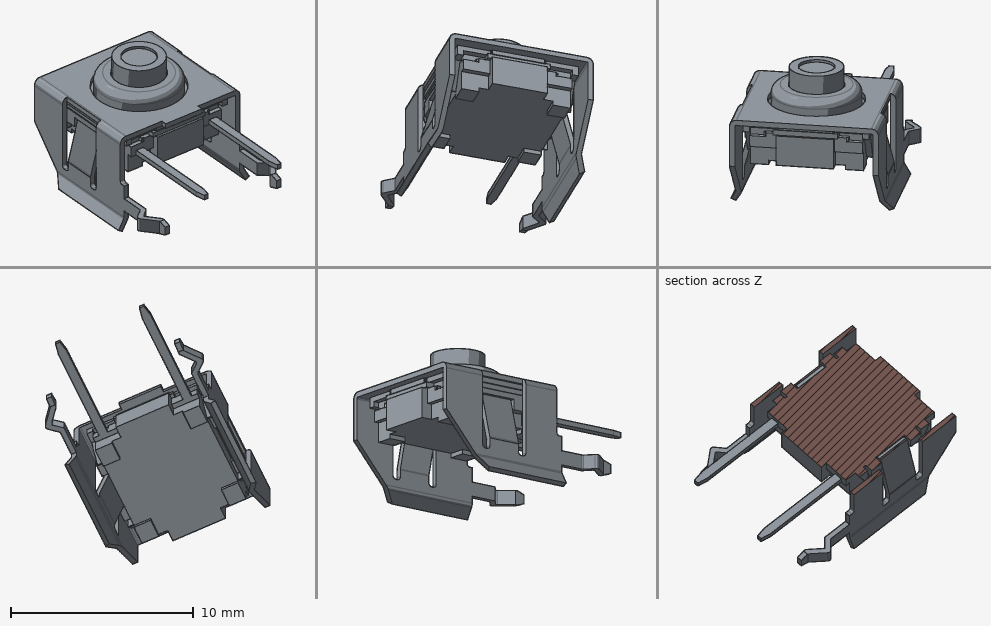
import cadquery as cq
import math


sheet = 0.3
cover_half_width = 4.15
cover_half_length = 4.0
cover_top_end = 3.66
cover_bottom = -5.8
cover_hole_diameter = 5.35
tab_width = 2.52
bend_outer_radius = 0.4
bend_inner_radius = bend_outer_radius - sheet
wall_mid = cover_half_width - sheet / 2
wall_inside = cover_half_width - sheet
small_bend_outer_radius = 0.46
small_bend_inner_radius = small_bend_outer_radius - sheet
flare_angle = 30.0
flare_bend_z = -5.02
slant_start_z = -2.72
slant_end_x = -1.2
shoulder_z = -2.92
shoulder_fillet = 0.16

window_half_length = 1.5
window_bottom = -4.49
window_fillet = 0.19
tongue_half_length = 1.0
tongue_angle = 15.0
tongue_bend_z = -3.87
tongue_top = -1.2

leg_mid_z = -4.13
leg_width = 0.81
leg_end = 7.5
leg_taper_start = 7.04
leg_tip_width = 0.5
leg_bend_start = 5.51
leg_crest_x = 6.03
leg_crest_y = 4.61
leg_bend_end = 6.94
leg_end_y = 3.87
crest_outer_radius = 0.19
crest_inner_radius = 0.1

pin_y = 2.53
pin_width = 0.5
pin_tip_width = 0.26
pin_end = 9.25
pin_taper_start = 8.64
pin_root = 2.65
pin_top = -1.46
pin_bottom = -1.75

button_diameter = 3.0
button_top = 1.9
recess_diameter = 2.0
recess_depth = 0.15
dome_diameter = 5.0
dome_top = 0.85
dome_round = 0.5
dome_gap_diameter = 3.1
dome_gap_depth = 0.2

body_half_width = 3.14
body_half_length = 3.05
body_bottom = -2.61
core_half_width = 1.59
core_half_length = 3.71
core_top = -0.89
lid_bottom = -0.6
lid_half_width = 3.5
lid_half_length = 3.38
lid_rib_half_width = 1.51
lid_rib_step = 0.07
plate_half_width = 1.8
plate_half_length = 3.56
ledge_half_length = 3.33
ledge_top = -1.11
ledge_inner_y = 2.24
ledge_lip_inset = 0.09
ledge_lip_width = 0.12
foot_bottom = -2.86
foot_inner_y = 2.13
foot_length = 1.06

rail_half_length = 1.85
upper_rail_half_width = 3.68
middle_rail_half_width = 3.59
lower_rail_half_width = 3.65
rail_bottom = -1.8
rail_notch_half_length = 1.07
block_half_width = 3.48
block_inner_x = 1.99
block_outer_x = 2.78
block_bottom = -2.44
block_lean = 0.74


def bent_strip(path, thickness):
    """Outline points of a strip of even thickness along a bent centre line, with square ends."""
    directions = []
    for (u0, v0), (u1, v1) in zip(path, path[1:]):
        directions.append(math.atan2(v1 - v0, u1 - u0))
    left, right = [], []
    for i, (u, v) in enumerate(path):
        before = directions[max(i - 1, 0)]
        after = directions[min(i, len(directions) - 1)]
        normal = (before + after + math.pi) / 2
        reach = thickness / 2 / math.cos((after - before) / 2)
        left.append((u + reach * math.cos(normal), v + reach * math.sin(normal)))
        right.append((u - reach * math.cos(normal), v - reach * math.sin(normal)))
    return left + right[::-1]


def box(x0, x1, y0, y1, z0, z1):
    """Axis-aligned box between two corners."""
    return cq.Workplane("XY").box(x1 - x0, y1 - y0, z1 - z0, centered=False).translate((x0, y0, z0))


def slab(half_length, half_width, z0, z1):
    """Box centred on the button axis."""
    return box(-half_length, half_length, -half_width, half_width, z0, z1)


def along_x(points, x0, x1):
    """Extrude a YZ outline from x0 to x1."""
    return cq.Workplane("YZ").workplane(offset=x0).polyline(points).close().extrude(x1 - x0)


def through_y(points):
    """Extrude an XZ outline through the whole width of the part."""
    return cq.Workplane("XZ").polyline(points).close().extrude(2 * cover_half_width, both=True)


def round_edge(solid, direction, point, radius):
    """Fillet the edge in the given direction that lies nearest to a point."""
    nearest = cq.selectors.NearestToPointSelector(point)
    return solid.edges(direction).edges(nearest).fillet(radius)


def both_sides(solid):
    """Add the copy on the other side of the XZ plane."""
    return solid.union(solid.mirror("XZ"))


def make_cover():
    """Channel with flared skirts, cut to its side outline, with a round hole and an end tab."""
    flare = math.radians(flare_angle)
    flare_end_z = cover_bottom + sheet / 2 * math.sin(flare)
    flare_end_y = wall_mid + (flare_bend_z - flare_end_z) * math.tan(flare)
    half_path = [(wall_mid, -sheet / 2), (wall_mid, flare_bend_z), (flare_end_y, flare_end_z)]
    other_half = [(-y, z) for y, z in reversed(half_path)]
    cover = along_x(bent_strip(other_half + half_path, sheet), -cover_half_length, cover_half_length)
    for side in (-1, 1):
        outer_y = side * cover_half_width
        inner_y = side * wall_inside
        cover = round_edge(cover, "|X", (0, outer_y, 0), bend_outer_radius)
        cover = round_edge(cover, "|X", (0, inner_y, -sheet), bend_inner_radius)
        cover = round_edge(cover, "|X", (0, outer_y, flare_bend_z), small_bend_inner_radius)
        cover = round_edge(cover, "|X", (0, inner_y, flare_bend_z), small_bend_outer_radius)

    side_outline = through_y([
        (-cover_half_length, 0),
        (cover_top_end, 0),
        (cover_top_end, shoulder_z),
        (cover_half_length, shoulder_z),
        (cover_half_length, cover_bottom),
        (slant_end_x, cover_bottom),
        (-cover_half_length, slant_start_z),
    ])
    side_outline = round_edge(side_outline, "|Y", (cover_top_end, 0, shoulder_z), shoulder_fillet)
    tab = box(0, cover_half_length, -tab_width / 2, tab_width / 2, -sheet, 0)
    hole = cq.Workplane("XY").circle(cover_hole_diameter / 2).extrude(-sheet)
    return cover.intersect(side_outline).union(tab).cut(hole)


def make_windows():
    """Cutters for the two side windows, each leaving the tongue foot and clearing the bend inside."""
    window = box(
        -window_half_length, window_half_length,
        wall_inside, cover_half_width,
        window_bottom, 0,
    )
    tongue_foot = box(
        -tongue_half_length, tongue_half_length,
        wall_inside, cover_half_width,
        window_bottom, tongue_bend_z,
    )
    window = window.cut(tongue_foot).edges("|Y and <Z").fillet(window_fillet)
    bend_relief = box(
        -window_half_length, window_half_length,
        wall_inside - bend_inner_radius, wall_inside,
        -sheet - bend_inner_radius, -sheet,
    )
    return both_sides(window.union(bend_relief))


def make_tongues():
    """Spring tongues leaning inward from the side walls up to the switch body."""
    lean = math.radians(tongue_angle)
    tip_z = tongue_top - sheet / 2 * math.sin(lean)
    tip_y = wall_mid - (tip_z - tongue_bend_z) * math.tan(lean)
    path = [(wall_mid, window_bottom), (wall_mid, tongue_bend_z), (tip_y, tip_z)]
    tongue = along_x(bent_strip(path, sheet), -tongue_half_length, tongue_half_length)
    tongue = round_edge(tongue, "|X", (0, cover_half_width, tongue_bend_z), small_bend_outer_radius)
    tongue = round_edge(tongue, "|X", (0, wall_inside, tongue_bend_z), small_bend_inner_radius)
    return both_sides(tongue)


def tapered_bar(x0, taper_start, x1, width, tip_width):
    """Outline of a bar along +X with a blunt tapered tip, centred on its own axis."""
    return [
        (x0, -width / 2),
        (taper_start, -width / 2),
        (x1, -tip_width / 2),
        (x1, tip_width / 2),
        (taper_start, width / 2),
        (x0, width / 2),
    ]


def make_legs():
    """Snap legs with an outward crest and a tapered tip."""
    path = [
        (cover_top_end, wall_mid),
        (leg_bend_start, wall_mid),
        (leg_crest_x, leg_crest_y),
        (leg_bend_end, leg_end_y),
        (leg_end, leg_end_y),
    ]
    leg = cq.Workplane("XY").workplane(offset=leg_mid_z - leg_width / 2)
    leg = leg.polyline(bent_strip(path, sheet)).close().extrude(leg_width)
    leg = round_edge(leg, "|Z", (leg_crest_x, leg_crest_y + sheet, leg_mid_z), crest_outer_radius)
    leg = round_edge(leg, "|Z", (leg_crest_x, leg_crest_y - sheet, leg_mid_z), crest_inner_radius)
    start_bend = (leg_bend_start, cover_half_width, leg_mid_z)
    leg = round_edge(leg, "|Z", start_bend, bend_inner_radius)

    outline = tapered_bar(cover_top_end, leg_taper_start, leg_end, leg_width, leg_tip_width)
    leg = leg.intersect(through_y(outline).translate((0, 0, leg_mid_z)))
    return both_sides(leg)


def make_pins():
    """Flat terminal pins with tapered tips."""
    outline = tapered_bar(pin_root, pin_taper_start, pin_end, pin_width, pin_tip_width)
    pin = cq.Workplane("XY").workplane(offset=pin_bottom).polyline(outline).close()
    pin = pin.extrude(pin_top - pin_bottom).translate((0, pin_y, 0))
    return both_sides(pin)


def make_button():
    """Round dome around the recessed button, with a narrow gap between them."""
    root = lid_bottom
    dome = cq.Workplane("XY").workplane(offset=root).circle(dome_diameter / 2)
    dome = dome.extrude(dome_top - root).faces(">Z").edges().fillet(dome_round)
    gap = cq.Workplane("XY").workplane(offset=dome_top - dome_gap_depth)
    gap = gap.circle(dome_gap_diameter / 2).extrude(dome_gap_depth)
    button = cq.Workplane("XY").workplane(offset=root).circle(button_diameter / 2)
    button = button.extrude(button_top - root)
    button = button.faces(">Z").workplane().hole(recess_diameter, recess_depth)
    return dome.cut(gap).union(button)


def make_side_block():
    """Bar across the body that stands out of both flanks; its outer end leans inward going down."""
    return (
        cq.Workplane("XZ")
        .polyline([
            (block_inner_x, core_top),
            (block_outer_x, core_top),
            (block_outer_x - block_lean, block_bottom),
            (block_inner_x, block_bottom),
        ])
        .close()
        .extrude(block_half_width, both=True)
    )


def make_rails():
    """Three stacked rails along each flank, the lowest notched around the tongue."""
    rails = slab(rail_half_length, lower_rail_half_width, rail_bottom, core_top)
    notch = box(
        -rail_notch_half_length, rail_notch_half_length,
        body_half_width, lower_rail_half_width,
        rail_bottom, tongue_top,
    )
    rails = rails.cut(both_sides(notch))
    rails = rails.union(slab(rail_half_length, middle_rail_half_width, core_top, lid_bottom))
    return rails.union(slab(rail_half_length, upper_rail_half_width, lid_bottom, -sheet))


def make_lid():
    """Lid with hanging side cheeks, stepped ribs at its ends and a narrower plate below it."""
    lid = slab(lid_half_length, lid_half_width, core_top, -sheet)
    lid = lid.cut(slab(lid_half_length, body_half_width, core_top, lid_bottom))
    rib_length = lid_half_length
    for half_width in (core_half_width, lid_rib_half_width):
        rib_length += lid_rib_step
        lid = lid.union(slab(rib_length, half_width, lid_bottom, -sheet))
    return lid.union(slab(plate_half_length, plate_half_width, core_top, lid_bottom))


def make_ledges():
    """Contact ledges that stand out from both ends, with a raised middle and a thin lip beside it."""
    lip_half_length = ledge_half_length - ledge_lip_inset
    ledges = slab(ledge_half_length, body_half_width, pin_bottom, ledge_top)
    ledges = ledges.union(slab(ledge_half_length, ledge_inner_y, ledge_top, core_top))
    return ledges.union(slab(lip_half_length, ledge_inner_y + ledge_lip_width, ledge_top, core_top))


def make_body():
    """Switch body: main block, core, lid, ledges and rails, with feet and blocks at the corners."""
    body = slab(body_half_length, body_half_width, body_bottom, -sheet)
    body = body.union(slab(core_half_length, core_half_width, body_bottom, core_top))
    body = body.union(make_lid()).union(make_ledges()).union(make_rails())
    foot = box(
        -body_half_length, foot_length - body_half_length,
        foot_inner_y, body_half_width,
        foot_bottom, body_bottom,
    )
    for corner_part in (make_side_block(), both_sides(foot)):
        body = body.union(corner_part).union(corner_part.mirror("YZ"))
    return body


cover = make_cover().cut(make_windows()).union(make_tongues()).union(make_legs())
result = make_body().union(make_pins()).union(make_button()).union(cover)